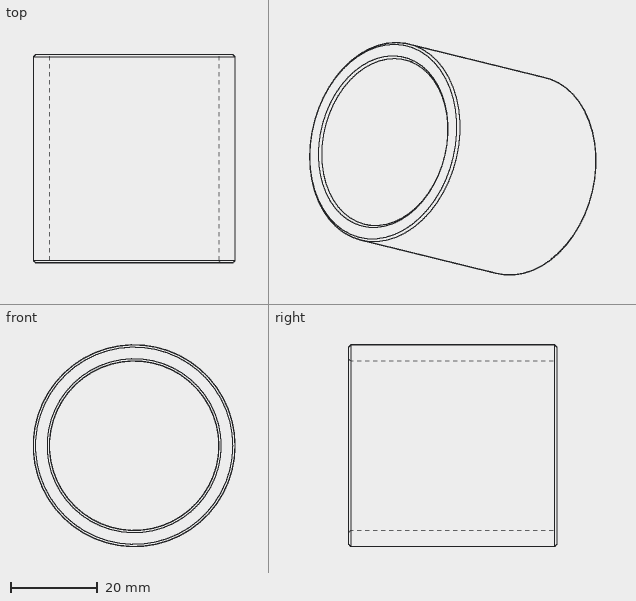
import cadquery as cq

outer_diameter = 46.5
bore_diameter = 38.95
length = 48.0
rim_chamfer = 0.55


def make_sleeve():
    """Hollow cylinder running along Y, centred on the origin."""
    return (
        cq.Workplane("XZ", origin=(0, length / 2, 0))
        .circle(outer_diameter / 2)
        .circle(bore_diameter / 2)
        .extrude(length)
    )


def chamfer_rims(sleeve):
    """Break the outer and bore edges of both end faces."""
    return sleeve.faces("<Y or >Y").edges().chamfer(rim_chamfer)


result = chamfer_rims(make_sleeve())